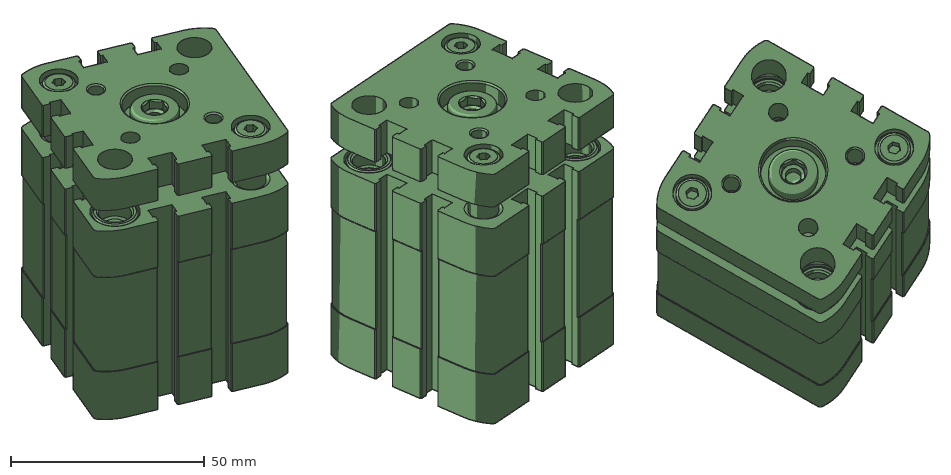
import cadquery as cq
import math

WIDTH = 54.5
TOTAL_HEIGHT = 76.6
PLATE_THICKNESS = 10.0
GAP = 6.6
HALF = WIDTH / 2

CORNER_ARC_RADIUS = 15.0
CORNER_ARC_START = 19.0
CORNER_BLEND = 1.3
SLOT_PITCH = 7.545
SLOT_MOUTH = 5.4
SLOT_INNER = 6.7
SLOT_DEPTH = 5.45
SLOT_LIP = 2.3
LIP_CHAMFER = 0.3

HOUSING_HEIGHT = TOTAL_HEIGHT - PLATE_THICKNESS - GAP
BASE_CAP_HEIGHT = 15.2
TOP_CAP_HEIGHT = 14.8
BARREL_INSET = 0.3
PLATE_BOTTOM = HOUSING_HEIGHT + GAP

CORNER_OFFSET = 19.0
GUIDE_CORNERS = [(-CORNER_OFFSET, -CORNER_OFFSET), (CORNER_OFFSET, CORNER_OFFSET)]
SCREW_CORNERS = [(-CORNER_OFFSET, CORNER_OFFSET), (CORNER_OFFSET, -CORNER_OFFSET)]

SCREW_RECESS_DIAMETER = 13.0
SCREW_HEAD_DIAMETER = 12.0
SCREW_RECESS_DEPTH = 2.0
SCREW_HEAD_CHAMFER = 0.45
SCREW_SOCKET_DIAMETER = 8.6
SCREW_SOCKET_DEPTH = 4.5
SCREW_SOCKET_CHAMFER = 0.5
SCREW_BORE_DIAMETER = 4.9
SCREW_BORE_CHAMFER = 0.5

GUIDE_DIAMETER = 8.0
GUIDE_INSERTION = 30.65
GUIDE_MOUTH_DIAMETER = 10.0
GUIDE_MOUTH_DEPTH = 0.6
GUIDE_RECESS_DIAMETER = 10.0
GUIDE_RECESS_DEPTH = 2.3
GUIDE_HEAD_DIAMETER = 8.5
GUIDE_HEAD_DROP = 0.5
GUIDE_HEAD_TOP_DIAMETER = 7.3
GUIDE_HEAD_TAPER = 0.3
GUIDE_HEX_CIRCLE = 3.45
GUIDE_HEX_DEPTH = 2.3
GUIDE_HEX_TURN = 15.0

ROD_DIAMETER = 11.9
ROD_INSERTION = 30.65
ROD_FLATS = 10.0
FLAT_BASE = 1.8
FLAT_LEDGE_DROP = 0.5

PLATE_BORE_DIAMETER = 17.0
PLATE_BORE_DEPTH = 5.0
PLATE_BORE_CHAMFER = 0.45
ROD_HEAD_DIAMETER = 12.8
ROD_HEAD_DROP = 1.2
ROD_HEAD_ROUND = 0.8
ROD_HEX_FLATS = 6.0
ROD_HEX_DEPTH = 2.6
ROD_HEX_MOUTH_DIAMETER = 7.05
ROD_HEX_MOUTH_DEPTH = 0.45
ROD_PILOT_DIAMETER = 4.1
DRILL_CONE_ANGLE = 30.0
ROD_PILOT_DEPTH = 3.1

ACCESS_HOLE_DIAMETER = 9.0
SMALL_HOLE_OFFSET = 11.65
PIN_HOLE_DIAMETER = 5.0
THREAD_HOLE_DIAMETER = 4.1
THREAD_CHAMFER = (PIN_HOLE_DIAMETER - THREAD_HOLE_DIAMETER) / 2
PIN_HOLES = [(-SMALL_HOLE_OFFSET, SMALL_HOLE_OFFSET), (SMALL_HOLE_OFFSET, -SMALL_HOLE_OFFSET)]
THREAD_HOLES = [(-SMALL_HOLE_OFFSET, -SMALL_HOLE_OFFSET), (SMALL_HOLE_OFFSET, SMALL_HOLE_OFFSET)]


def cylinder(diameter, bottom, top, center=(0, 0)):
    return cq.Workplane("XY", origin=(*center, bottom)).circle(diameter / 2).extrude(top - bottom)


def cone(bottom_diameter, top_diameter, bottom, top, center=(0, 0)):
    solid = cq.Solid.makeCone(
        bottom_diameter / 2, top_diameter / 2, top - bottom, cq.Vector(*center, bottom), cq.Vector(0, 0, 1)
    )
    return cq.Workplane(obj=solid)


def hexagon(circle_diameter, bottom, top, center=(0, 0), turn=0):
    prism = cq.Workplane("XY").polygon(6, circle_diameter).extrude(top - bottom)
    return prism.rotate((0, 0, 0), (0, 0, 1), turn).translate((*center, bottom))


def rounded_block(inset, bottom, top):
    side = HALF - inset
    radius = CORNER_ARC_RADIUS - inset
    arc_center = side - radius

    def arc_x(y):
        return arc_center + math.sqrt(radius**2 - (y - CORNER_ARC_START) ** 2)

    y_mid = (CORNER_ARC_START + side) / 2
    block = (
        cq.Workplane("XY", origin=(0, 0, bottom))
        .moveTo(side, -CORNER_ARC_START)
        .lineTo(side, CORNER_ARC_START)
        .threePointArc((arc_x(y_mid), y_mid), (arc_x(side), side))
        .lineTo(-arc_x(side), side)
        .threePointArc((-arc_x(y_mid), y_mid), (-side, CORNER_ARC_START))
        .lineTo(-side, -CORNER_ARC_START)
        .threePointArc((-arc_x(y_mid), -y_mid), (-arc_x(side), -side))
        .lineTo(arc_x(side), -side)
        .threePointArc((arc_x(y_mid), -y_mid), (side, -CORNER_ARC_START))
        .close()
        .extrude(top - bottom)
    )
    arc_ends = block.faces("<Y or >Y").edges("|Z")
    return arc_ends.fillet(CORNER_BLEND - inset)


def slot_cutters(inset, bottom, top):
    """T-slots, two on each of the left, right and front sides."""
    side = HALF - inset
    mouth = SLOT_MOUTH / 2
    inner = SLOT_INNER / 2
    right_edge = [
        (mouth + LIP_CHAMFER, -side),
        (mouth, -side + LIP_CHAMFER),
        (mouth, -HALF + SLOT_LIP),
        (inner, -HALF + SLOT_LIP),
        (inner, -HALF + SLOT_DEPTH),
    ]
    left_edge = [(-x, y) for x, y in reversed(right_edge)]
    outline = cq.Workplane("XY", origin=(0, 0, bottom)).polyline(right_edge + left_edge).close()
    slot = outline.extrude(top - bottom)
    pair = slot.translate((-SLOT_PITCH, 0, 0)).add(slot.translate((SLOT_PITCH, 0, 0)))
    cutters = []
    for angle in (-90, 0, 90):
        cutters += [solid.rotate(cq.Vector(), cq.Vector(0, 0, 1), angle) for solid in pair.vals()]
    return cq.Workplane(obj=cq.Compound.makeCompound(cutters))


def slotted_block(inset, bottom, top):
    return rounded_block(inset, bottom, top).cut(slot_cutters(inset, bottom, top))


def cut_cover_screw(housing, center):
    top = HOUSING_HEIGHT
    floor = top - SCREW_SOCKET_DEPTH
    head = cylinder(SCREW_HEAD_DIAMETER, top - SCREW_RECESS_DEPTH, top, center)
    head = head.faces(">Z").edges().chamfer(SCREW_HEAD_CHAMFER)
    groove = cylinder(SCREW_RECESS_DIAMETER, top - SCREW_RECESS_DEPTH, top, center).cut(head)
    socket_mouth = SCREW_SOCKET_DIAMETER + 2 * SCREW_SOCKET_CHAMFER
    bore_mouth = SCREW_BORE_DIAMETER + 2 * SCREW_BORE_CHAMFER
    return (
        housing.cut(groove)
        .cut(cylinder(SCREW_SOCKET_DIAMETER, floor, top, center))
        .cut(cone(SCREW_SOCKET_DIAMETER, socket_mouth, top - SCREW_SOCKET_CHAMFER, top, center))
        .cut(cylinder(SCREW_BORE_DIAMETER, 0, floor, center))
        .cut(cone(SCREW_BORE_DIAMETER, bore_mouth, floor - SCREW_BORE_CHAMFER, floor, center))
    )


def cut_guide_hole(housing, center):
    top = HOUSING_HEIGHT
    mouth = cone(GUIDE_DIAMETER, GUIDE_MOUTH_DIAMETER, top - GUIDE_MOUTH_DEPTH, top, center)
    return housing.cut(cylinder(GUIDE_DIAMETER, top - GUIDE_INSERTION, top, center)).cut(mouth)


def make_housing():
    barrel_top = HOUSING_HEIGHT - TOP_CAP_HEIGHT
    housing = (
        slotted_block(0, 0, BASE_CAP_HEIGHT)
        .union(slotted_block(BARREL_INSET, BASE_CAP_HEIGHT, barrel_top))
        .union(slotted_block(0, barrel_top, HOUSING_HEIGHT))
    )
    for center in SCREW_CORNERS:
        housing = cut_cover_screw(housing, center)
    for center in GUIDE_CORNERS:
        housing = cut_guide_hole(housing, center)
    return housing.cut(cylinder(ROD_DIAMETER, HOUSING_HEIGHT - ROD_INSERTION, HOUSING_HEIGHT))


def make_plate():
    plate = slotted_block(0, PLATE_BOTTOM, TOTAL_HEIGHT)
    for center in SCREW_CORNERS:
        plate = plate.cut(cylinder(ACCESS_HOLE_DIAMETER, PLATE_BOTTOM, TOTAL_HEIGHT, center))
    for center in PIN_HOLES:
        plate = plate.cut(cylinder(PIN_HOLE_DIAMETER, PLATE_BOTTOM, TOTAL_HEIGHT, center))
    for center in THREAD_HOLES:
        countersink_bottom = TOTAL_HEIGHT - THREAD_CHAMFER
        plate = plate.cut(cylinder(THREAD_HOLE_DIAMETER, PLATE_BOTTOM, TOTAL_HEIGHT, center))
        plate = plate.cut(
            cone(THREAD_HOLE_DIAMETER, PIN_HOLE_DIAMETER, countersink_bottom, TOTAL_HEIGHT, center)
        )
    return plate


def add_guide_rod(carriage, center):
    recess_floor = TOTAL_HEIGHT - GUIDE_RECESS_DEPTH
    head_top = TOTAL_HEIGHT - GUIDE_HEAD_DROP
    rim = head_top - GUIDE_HEAD_TAPER
    head = cylinder(GUIDE_HEAD_DIAMETER, recess_floor, rim, center)
    head = head.union(cone(GUIDE_HEAD_DIAMETER, GUIDE_HEAD_TOP_DIAMETER, rim, head_top, center))
    socket = hexagon(GUIDE_HEX_CIRCLE, head_top - GUIDE_HEX_DEPTH, head_top, center, GUIDE_HEX_TURN)
    rod = cylinder(GUIDE_DIAMETER, HOUSING_HEIGHT - GUIDE_INSERTION, PLATE_BOTTOM, center)
    recess = cylinder(GUIDE_RECESS_DIAMETER, recess_floor, TOTAL_HEIGHT, center)
    return carriage.cut(recess).union(head).cut(socket).union(rod)


def make_piston_rod():
    rod = cylinder(ROD_DIAMETER, HOUSING_HEIGHT - ROD_INSERTION, PLATE_BOTTOM)
    flat = ROD_FLATS / 2
    outer = ROD_DIAMETER / 2
    flat_bottom = HOUSING_HEIGHT + FLAT_BASE
    flat_cutter = (
        cq.Workplane("YZ")
        .polyline([
            (flat, flat_bottom),
            (outer, flat_bottom - FLAT_LEDGE_DROP),
            (outer, PLATE_BOTTOM),
            (flat, PLATE_BOTTOM),
        ])
        .close()
        .extrude(outer, both=True)
    )
    return rod.cut(flat_cutter).cut(flat_cutter.mirror("XZ"))


def add_rod_head(carriage):
    bore_floor = TOTAL_HEIGHT - PLATE_BORE_DEPTH
    bore_mouth = PLATE_BORE_DIAMETER + 2 * PLATE_BORE_CHAMFER
    head_top = TOTAL_HEIGHT - ROD_HEAD_DROP
    head = cylinder(ROD_HEAD_DIAMETER, bore_floor, head_top)
    head = head.faces(">Z").edges().fillet(ROD_HEAD_ROUND)
    return (
        carriage.cut(cylinder(PLATE_BORE_DIAMETER, bore_floor, TOTAL_HEIGHT))
        .cut(cone(PLATE_BORE_DIAMETER, bore_mouth, TOTAL_HEIGHT - PLATE_BORE_CHAMFER, TOTAL_HEIGHT))
        .union(head)
    )


def cut_rod_socket(carriage):
    """Hexagon socket with a conical floor, then a drilled pilot hole with a conical end."""
    head_top = TOTAL_HEIGHT - ROD_HEAD_DROP
    hex_floor = head_top - ROD_HEX_DEPTH
    hex_circle = ROD_HEX_FLATS / math.cos(math.pi / 6)
    mouth_bottom = head_top - ROD_HEX_MOUTH_DEPTH
    drill_slope = math.tan(math.radians(DRILL_CONE_ANGLE))
    floor_cone_depth = ROD_HEX_FLATS / 2 * drill_slope
    pilot_end = hex_floor - ROD_PILOT_DEPTH
    pilot_cone_depth = ROD_PILOT_DIAMETER / 2 * drill_slope
    return (
        carriage.cut(hexagon(hex_circle, hex_floor, head_top))
        .cut(cone(ROD_HEX_FLATS, ROD_HEX_MOUTH_DIAMETER, mouth_bottom, head_top))
        .cut(cone(0, ROD_HEX_FLATS, hex_floor - floor_cone_depth, hex_floor))
        .cut(cylinder(ROD_PILOT_DIAMETER, pilot_end, hex_floor))
        .cut(cone(0, ROD_PILOT_DIAMETER, pilot_end - pilot_cone_depth, pilot_end))
    )


def make_carriage():
    carriage = add_rod_head(make_plate()).union(make_piston_rod())
    carriage = cut_rod_socket(carriage)
    for center in GUIDE_CORNERS:
        carriage = add_guide_rod(carriage, center)
    return carriage


housing = make_housing()
carriage = make_carriage()

result = cq.Compound.makeCompound([housing.val(), carriage.val()])